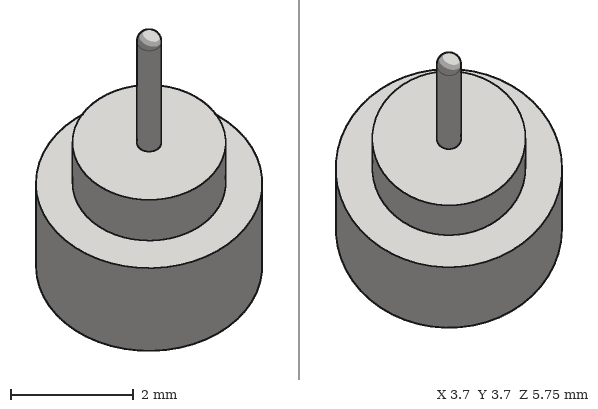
import cadquery as cq

total_height = 5.75
base_diameter = 3.7
base_height = 2.045
collar_diameter = 2.5
collar_height = 1.005
pin_diameter = 0.4

pin_radius = pin_diameter / 2
collar_top = base_height + collar_height
pin_length = total_height - collar_top

base = cq.Workplane("XY").circle(base_diameter / 2).extrude(base_height)

collar = cq.Workplane("XY").workplane(offset=base_height).circle(collar_diameter / 2).extrude(collar_height)

pin_shaft = (
    cq.Workplane("XY")
    .workplane(offset=collar_top)
    .circle(pin_radius)
    .extrude(pin_length - pin_radius)
)
pin_tip = cq.Workplane("XY").sphere(pin_radius).translate((0, 0, total_height - pin_radius))

result = base.union(collar).union(pin_shaft).union(pin_tip)